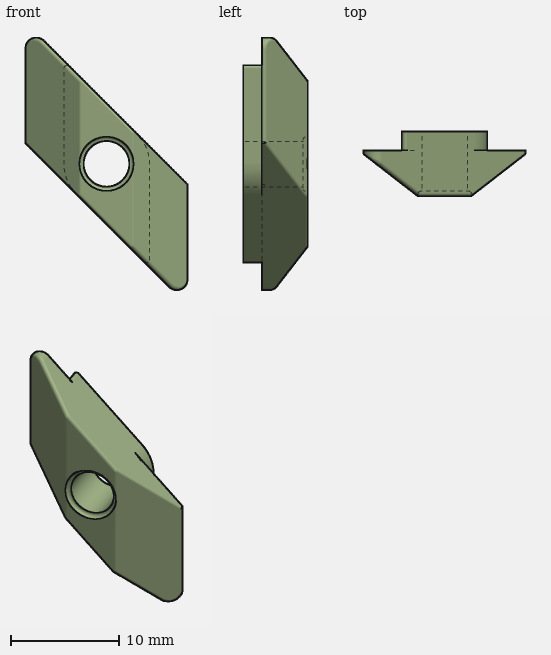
import cadquery as cq
import math

strip_width = 7.905
plate_length_x = 14.98
plate_thickness = 4.25
edge_wall = 0.34
crown_width = 4.9
plate_corner_radius = 1.0
key_height = 1.75
key_corner_radius = 0.3
edge_radius = 0.3
bore_diameter = 4.2
counterbore_diameter = 5.0
counterbore_depth = 0.5
counterbore_fillet = 0.3
corner_tolerance = 0.1

half_strip = strip_width / 2
diagonal_offset = half_strip * math.sqrt(2)
half_length = plate_length_x / 2
half_crown = crown_width / 2


def sheared_outline(half_x):
    """Parallelogram with sides parallel to Z and 45 degree top and bottom."""
    return [
        (-half_x, half_x - diagonal_offset),
        (-half_x, half_x + diagonal_offset),
        (half_x, diagonal_offset - half_x),
        (half_x, -half_x - diagonal_offset),
    ]


def sheared_prism(half_x, height):
    """Extrude the parallelogram from Y = 0; positive height goes toward -Y."""
    return cq.Workplane("XZ").polyline(sheared_outline(half_x)).close().extrude(height)


def edges_along_y(x, z):
    """Select the edges parallel to Y that pass near (x, z) and near its opposite (-x, -z)."""
    def near(px, pz):
        return cq.selectors.BoxSelector(
            (px - corner_tolerance, -plate_thickness, pz - corner_tolerance),
            (px + corner_tolerance, key_height, pz + corner_tolerance),
        )

    return cq.selectors.SumSelector(near(x, z), near(-x, -z))


def acute_corners(half_x):
    """Select the two sharp corners of a sheared prism."""
    return edges_along_y(-half_x, half_x + diagonal_offset)


def obtuse_corners(half_x):
    """Select the two blunt corners of a sheared prism."""
    return edges_along_y(half_x, diagonal_offset - half_x)


def make_plate():
    """Sheared plate with two slopes, rounded along every edge off the shoulder."""
    plate = sheared_prism(half_length, plate_thickness)
    plate = plate.edges("|Y").edges(acute_corners(half_length)).fillet(plate_corner_radius)
    section = [
        (-half_length, 0),
        (-half_length, -edge_wall),
        (-half_crown, -plate_thickness),
        (half_crown, -plate_thickness),
        (half_length, -edge_wall),
        (half_length, 0),
    ]
    reach = half_length + diagonal_offset
    trapezoid = cq.Workplane("XY").polyline(section).close().extrude(reach, both=True)
    plate = plate.intersect(trapezoid)
    shoulder_edges = cq.selectors.BoxSelector(
        (-reach, -corner_tolerance, -reach),
        (reach, corner_tolerance, reach),
    )
    front_edges = plate.edges("not |Y").edges(cq.selectors.InverseSelector(shoulder_edges))
    return front_edges.fillet(edge_radius)


def make_key():
    """Raised key whose obtuse corners are arcs about the bore axis, so it can turn in its slot."""
    key = sheared_prism(half_strip, -key_height)
    key = key.edges("|Y").edges(acute_corners(half_strip)).fillet(key_corner_radius)
    return key.edges("|Y").edges(obtuse_corners(half_strip)).fillet(half_strip)


def make_bore():
    """Through bore with a shallow counterbore in the crown, rounded where its wall meets its floor."""
    bore = cq.Workplane("XZ", origin=(0, key_height, 0)).circle(bore_diameter / 2)
    bore = bore.extrude(key_height + plate_thickness)
    floor_y = counterbore_depth - plate_thickness
    counterbore = cq.Workplane("XZ", origin=(0, floor_y, 0)).circle(counterbore_diameter / 2)
    counterbore = counterbore.extrude(counterbore_depth).edges(">Y").fillet(counterbore_fillet)
    return bore.union(counterbore)


result = make_plate().union(make_key()).cut(make_bore())